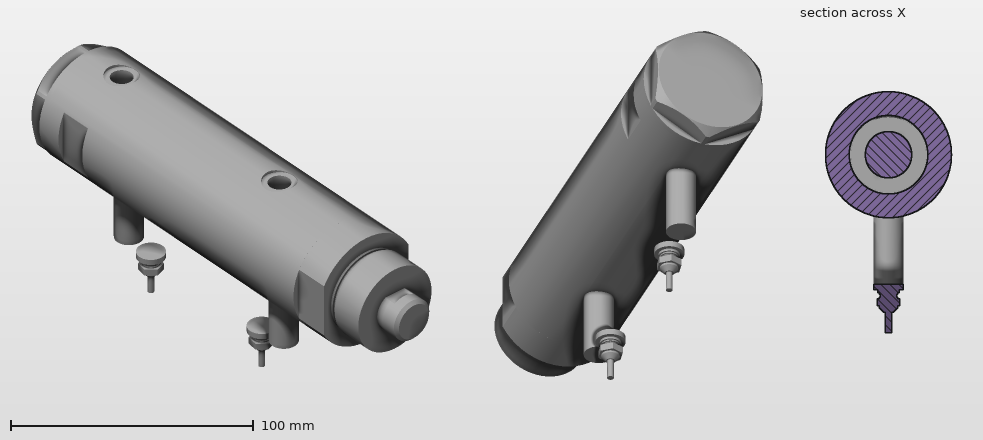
import cadquery as cq
import math


overall_length = 214.5
body_diameter = 52.0
body_radius = body_diameter / 2
bore_radius = 16.0
gland_seat_radius = 21.9
flat_distance = 23.0

hex_end = 8.8
barrel_start = 11.1
barrel_end = 168.7
collar_end = 184.4
neck_end = 187.5
ring_end = 202.5

port_positions = [30.5, 129.7]
port_radius = 5.0
spotface_radius = 7.5
spotface_depth = 1.3

barrel_flat_start = 20.8
barrel_flat_length = 15.0

pin_positions = [35.0, 132.5]
pin_radius = 6.2
pin_root_z = -23.5
pin_bottom_z = -53.2

cap_face_radius = 22.7
cap_nose_radius = 15.5
cap_nose_end = 34.7
cap_plug_end = port_positions[0] - port_radius

spigot_start = 132.7
neck_radius = 19.3
ring_radius = 20.0
neck_groove_radius = 18.5
neck_groove_start = 185.5
neck_groove_end = 186.5

rod_radius = 9.6
rod_chamfer = 1.5
rod_flat_end = 208.2
rod_flat_distance = 8.1

terminal_positions = [48.9, 118.5]
terminal_top_z = pin_bottom_z
terminal_bottom_z = -73.3
head_radius = 6.2
head_bottom_z = -55.7
shoulder_radius = 4.5
shoulder_bottom_z = -56.8
waist_radius = 3.9
waist_groove_radius = 3.5
waist_groove_top_z = -57.5
waist_groove_bottom_z = -58.5
nut_top_z = -59.2
nut_bottom_z = -62.2
nut_corner_radius = 5.4
nut_turn = -10.0
cone_top_z = -63.0
cone_bottom_radius = 2.0
cone_bottom_z = -65.0
stem_radius = 1.4


def cylinder_x(radius, start, end):
    """Solid cylinder on the X axis between two stations."""
    return cq.Workplane("YZ").workplane(offset=start).circle(radius).extrude(end - start)


def cylinder_z(x, radius, bottom, top):
    """Solid vertical cylinder at the given X position."""
    return cq.Workplane("XY", origin=(x, 0, bottom)).circle(radius).extrude(top - bottom)


def flat_cutters(start, end, distance):
    """Two blocks that leave flats facing +Y and -Y at a distance from the axis."""
    depth = 2 * body_radius
    block = cq.Workplane("XY").box(
        end - start, depth, 2 * depth, centered=(False, False, True)
    )
    front = block.translate((start, -distance - depth, 0))
    back = block.translate((start, distance, 0))
    return front.union(back)


def make_barrel():
    barrel = cylinder_x(body_radius, barrel_start, barrel_end)
    for x in pin_positions:
        barrel = barrel.union(cylinder_z(x, pin_radius, pin_bottom_z, pin_root_z))
    barrel = barrel.cut(cylinder_x(bore_radius, barrel_start, barrel_end))
    barrel = barrel.cut(cylinder_x(gland_seat_radius, spigot_start, barrel_end))
    for x in port_positions:
        spotface_z = body_radius - spotface_depth
        barrel = barrel.cut(cylinder_z(x, port_radius, 0, body_radius))
        barrel = barrel.cut(cylinder_z(x, spotface_radius, spotface_z, body_radius))
    barrel_flat_end = barrel_flat_start + barrel_flat_length
    return barrel.cut(flat_cutters(barrel_flat_start, barrel_flat_end, flat_distance))


def make_end_cap():
    corner_distance = flat_distance / math.cos(math.pi / 6)
    hexagon = (
        cq.Workplane("YZ")
        .transformed(rotate=(0, 0, 90))
        .polygon(6, 2 * corner_distance)
        .extrude(hex_end)
    )
    blank = (
        cylinder_x(body_radius, 0, hex_end)
        .faces("<X")
        .chamfer(body_radius - cap_face_radius)
    )
    head = hexagon.intersect(blank)
    flange = cylinder_x(body_radius, hex_end, barrel_start)
    plug = cylinder_x(bore_radius, barrel_start, cap_plug_end)
    nose = cylinder_x(cap_nose_radius, cap_plug_end, cap_nose_end)
    return head.union(flange).union(plug).union(nose)


def make_gland():
    spigot = cylinder_x(gland_seat_radius, spigot_start, barrel_end)
    collar = cylinder_x(body_radius, barrel_end, collar_end)
    collar = collar.cut(flat_cutters(barrel_end, collar_end, flat_distance))
    neck = cylinder_x(neck_radius, collar_end, neck_groove_start)
    groove = cylinder_x(neck_groove_radius, neck_groove_start, neck_groove_end)
    lip = cylinder_x(neck_radius, neck_groove_end, neck_end)
    ring = cylinder_x(ring_radius, neck_end, ring_end)
    gland = spigot.union(collar).union(neck).union(groove).union(lip).union(ring)
    return gland.cut(cylinder_x(rod_radius, spigot_start, ring_end))


def make_rod():
    rod = cylinder_x(rod_radius, cap_nose_end, overall_length)
    rod = rod.faces(">X").chamfer(rod_chamfer)
    flats = flat_cutters(ring_end, rod_flat_end, rod_flat_distance)
    return rod.cut(flats.rotate((0, 0, 0), (1, 0, 0), 90))


def make_terminal(x):
    turned = (
        cq.Workplane("XZ")
        .moveTo(0, terminal_top_z)
        .lineTo(head_radius, terminal_top_z)
        .lineTo(head_radius, head_bottom_z)
        .lineTo(shoulder_radius, head_bottom_z)
        .lineTo(shoulder_radius, shoulder_bottom_z)
        .lineTo(waist_radius, shoulder_bottom_z)
        .lineTo(waist_radius, waist_groove_top_z)
        .lineTo(waist_groove_radius, waist_groove_top_z)
        .lineTo(waist_groove_radius, waist_groove_bottom_z)
        .lineTo(waist_radius, waist_groove_bottom_z)
        .lineTo(waist_radius, cone_top_z)
        .lineTo(cone_bottom_radius, cone_bottom_z)
        .lineTo(stem_radius, cone_bottom_z)
        .lineTo(stem_radius, terminal_bottom_z)
        .lineTo(0, terminal_bottom_z)
        .close()
        .revolve(360, (0, 0, 0), (0, 1, 0))
    )
    nut = (
        cq.Workplane("XY", origin=(0, 0, nut_bottom_z))
        .transformed(rotate=(0, 0, nut_turn))
        .polygon(6, 2 * nut_corner_radius)
        .extrude(nut_top_z - nut_bottom_z)
    )
    return turned.union(nut).translate((x, 0, 0))


barrel = make_barrel()
end_cap = make_end_cap()
gland = make_gland()
rod = make_rod()
terminals = [make_terminal(x) for x in terminal_positions]

result = cq.Compound.makeCompound(
    [barrel.val(), end_cap.val(), gland.val(), rod.val()]
    + [terminal.val() for terminal in terminals]
)